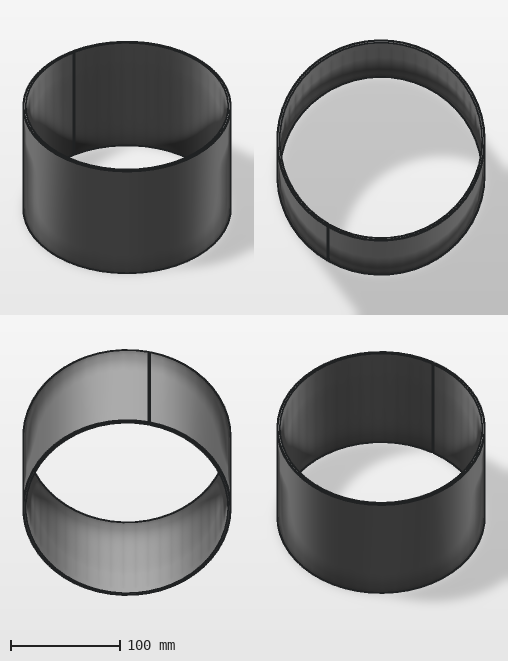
import cadquery as cq

outer_diameter = 190.0
height = 120.0
wall = 2.5
rim_chamfer = 0.5
sweep_angle = 359.0

outer_radius = outer_diameter / 2
inner_radius = outer_radius - wall

wall_section = (
    cq.Workplane("XZ")
    .moveTo(-inner_radius, 0)
    .lineTo(-outer_radius + rim_chamfer, 0)
    .lineTo(-outer_radius, rim_chamfer)
    .lineTo(-outer_radius, height - rim_chamfer)
    .lineTo(-outer_radius + rim_chamfer, height)
    .lineTo(-inner_radius, height)
    .close()
)

result = wall_section.revolve(sweep_angle, (0, 0, 0), (0, 1, 0))